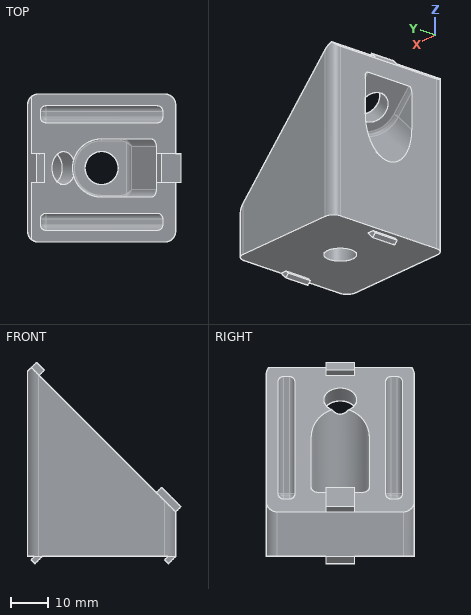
import cadquery as cq
import math

ROOT2 = math.sqrt(2)

BASE_SIZE = 40.0
FRONT_HEIGHT = 12.0
SLOPE_SUM = BASE_SIZE + FRONT_HEIGHT
TIP_BEVEL = 1.5
TIP_CUT = TIP_BEVEL / ROOT2
CORNER_RADIUS = 3.0

TAB_WIDTH = 7.8
SLOPE_TAB_HEIGHT = 2.0
TOP_TAB_LENGTH = 3.0
FRONT_TAB_LENGTH = 7.4
FRONT_TAB_X = BASE_SIZE - FRONT_TAB_LENGTH / ROOT2
BASE_TAB_THICKNESS = 1.5
BASE_TAB_DROP = 2.0
BACK_BASE_TAB_X = 4.0
FRONT_BASE_TAB_X = BASE_SIZE

HOLE_DIAMETER = 8.86
UPRIGHT_HOLE_X = BASE_SIZE / 2
FLOOR_THICKNESS = 10.0
FRONT_RECESS_RADIUS = 7.85
FRONT_RECESS_END_X = 34.75
END_WALL_FILLET = 2.0
FRONT_FLOOR_FILLET = 0.5
SLANT_HOLE_RISE = 32.5
BACK_RECESS_SUM = 45.0
BACK_RECESS_RADIUS = 8.25
BACK_FLOOR_FILLET = 1.0

GROOVE_START_X = 3.5
GROOVE_END_X = 36.5
GROOVE_WIDTH = 4.6
GROOVE_OFFSET = 14.5
GROOVE_FILLET = 1.5

REACH = 2 * BASE_SIZE


def extrude_profile(points, width):
    """Extrude an XZ outline, centred on Y = 0."""
    return cq.Workplane("XZ").polyline(points).close().extrude(width / 2, both=True)


def wedge():
    back_height = SLOPE_SUM - 2 * TIP_CUT
    outline = [
        (0, 0),
        (BASE_SIZE, 0),
        (BASE_SIZE, FRONT_HEIGHT),
        (TIP_CUT, SLOPE_SUM - TIP_CUT),
        (0, back_height),
    ]
    prism = extrude_profile(outline, BASE_SIZE)
    column = (
        cq.Workplane("XY")
        .rect(BASE_SIZE, BASE_SIZE)
        .extrude(SLOPE_SUM)
        .translate((BASE_SIZE / 2, 0, 0))
        .edges("|Z")
        .fillet(CORNER_RADIUS)
    )
    return prism.intersect(column)


def slope_tab(upper_x, length):
    """Block standing on the slope, running downhill from upper_x."""
    run = length / ROOT2
    rise = SLOPE_TAB_HEIGHT / ROOT2
    upper_z = SLOPE_SUM - upper_x
    outline = [
        (upper_x, upper_z),
        (upper_x + rise, upper_z + rise),
        (upper_x + run + rise, upper_z - run + rise),
        (upper_x + run, upper_z - run),
    ]
    return extrude_profile(outline, TAB_WIDTH)


def base_tab(outer_x):
    """Tab leaning back at 45 degrees below the base, with a square end."""
    step = BASE_TAB_THICKNESS / ROOT2
    outline = [
        (outer_x, 0),
        (outer_x - BASE_TAB_DROP, -BASE_TAB_DROP),
        (outer_x - BASE_TAB_DROP - step, step - BASE_TAB_DROP),
        (outer_x - 2 * step, 0),
    ]
    return extrude_profile(outline, TAB_WIDTH)


def front_recess():
    """D-shaped recess with a level floor and an end wall square to the slope."""
    wall_rise = SLOPE_SUM - FRONT_RECESS_END_X - FLOOR_THICKNESS
    wall_foot_x = FRONT_RECESS_END_X - wall_rise
    plan_length = REACH - UPRIGHT_HOLE_X
    plan = (
        cq.Workplane("XY")
        .circle(FRONT_RECESS_RADIUS)
        .extrude(REACH)
        .union(
            cq.Workplane("XY")
            .rect(plan_length, 2 * FRONT_RECESS_RADIUS)
            .extrude(REACH)
            .translate((plan_length / 2, 0, 0))
        )
        .translate((UPRIGHT_HOLE_X, 0, FLOOR_THICKNESS))
    )
    side = extrude_profile(
        [
            (0, FLOOR_THICKNESS),
            (wall_foot_x, FLOOR_THICKNESS),
            (wall_foot_x + BASE_SIZE, FLOOR_THICKNESS + BASE_SIZE),
            (0, FLOOR_THICKNESS + BASE_SIZE),
        ],
        BASE_SIZE,
    )
    end_wall = cq.selectors.DirectionMinMaxSelector(cq.Vector(1, 0, -1), True)
    recess = plan.intersect(side)
    recess = recess.faces(end_wall).edges("not(>Z)").fillet(END_WALL_FILLET)
    return recess.faces("<Z").edges("not(>X)").fillet(FRONT_FLOOR_FILLET)


def slanted_plane(x_plus_z):
    """Plane square to the (1, 0, 1) direction on the slanted hole axis; local Y runs up the slope."""
    x = (x_plus_z - SLANT_HOLE_RISE) / 2
    return cq.Plane(origin=(x, 0, x + SLANT_HOLE_RISE), xDir=(0, -1, 0), normal=(-1, 0, -1))


def back_recess():
    """Slanted recess entering from the back face, open towards the top."""
    r = BACK_RECESS_RADIUS
    return (
        cq.Workplane(slanted_plane(BACK_RECESS_SUM))
        .moveTo(-r, BASE_SIZE)
        .lineTo(-r, 0)
        .threePointArc((0, -r), (r, 0))
        .lineTo(r, BASE_SIZE)
        .close()
        .extrude(REACH)
        .faces(cq.selectors.DirectionMinMaxSelector(cq.Vector(1, 0, 1), True))
        .edges()
        .fillet(BACK_FLOOR_FILLET)
    )


def slanted_hole():
    radius = HOLE_DIAMETER / 2
    return cq.Workplane(slanted_plane(SLOPE_SUM + BASE_SIZE)).circle(radius).extrude(REACH)


def upright_hole():
    radius = HOLE_DIAMETER / 2
    return cq.Workplane("XY").center(UPRIGHT_HOLE_X, 0).circle(radius).extrude(FRONT_HEIGHT)


def groove(center_y):
    """Upright groove whose level floor runs out at the slope."""
    floor_z = SLOPE_SUM - GROOVE_END_X
    length = REACH - GROOVE_START_X
    return (
        cq.Workplane("XY")
        .box(length, GROOVE_WIDTH, REACH, centered=(False, True, False))
        .edges("|Z or <Z")
        .fillet(GROOVE_FILLET)
        .translate((GROOVE_START_X, center_y, floor_z))
    )


result = wedge()
for recess in (front_recess(), back_recess(), slanted_hole(), upright_hole()):
    result = result.cut(recess)
for side in (-1, 1):
    result = result.cut(groove(side * GROOVE_OFFSET))

result = result.union(slope_tab(TIP_CUT, TOP_TAB_LENGTH))
result = result.union(slope_tab(FRONT_TAB_X, FRONT_TAB_LENGTH))
for outer_x in (BACK_BASE_TAB_X, FRONT_BASE_TAB_X):
    result = result.union(base_tab(outer_x))